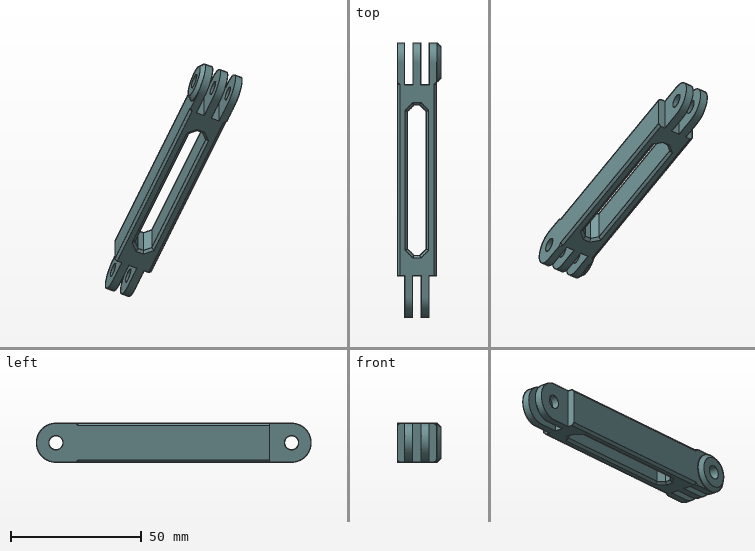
import cadquery as cq

width = 15.0
height = 15.0
total_length = 105.0
prong_length = 16.0
edge_chamfer = 1.0

prong_thickness = 3.0
pair_gap = 3.3
outer_thickness = 2.8
hole_diameter = 5.3
tip_radius = height / 2

boss_height = 1.8
boss_chamfer = 1.55

window_width = 7.0
window_length = 57.4
window_corner = 2.4
window_chamfer = 1.0

body_length = total_length - 2 * prong_length
body_end_y = body_length / 2
pivot_y = total_length / 2 - tip_radius


def disc(x_start, thickness, y, radius):
    """Cylinder along X that starts at x_start, with its axis at the given Y."""
    return cq.Workplane("YZ", origin=(x_start, y, 0)).circle(radius).extrude(thickness)


def bar():
    """Square bar with its four long edges bevelled."""
    return cq.Workplane("XY").box(width, body_length, height).edges("|Y").chamfer(edge_chamfer)


def prong(x_start, thickness, side):
    """Round-tipped prong on a bar end; side is +1 for the +Y end and -1 for the -Y end."""
    shank_length = pivot_y - body_end_y
    shank_center = (x_start + thickness / 2, side * (body_end_y + shank_length / 2), 0)
    shank = cq.Workplane("XY").box(thickness, shank_length, height).translate(shank_center)
    return shank.union(disc(x_start, thickness, side * pivot_y, tip_radius))


def boss():
    """Bevelled round boss on the outer face of the +X prong."""
    pad = disc(width / 2, boss_height, pivot_y, tip_radius)
    return pad.faces(">X").edges().chamfer(boss_chamfer)


def bevel_runout(x_side, z_side):
    """Corner tetrahedron in which a bar bevel runs out into an outer prong at the +Y end."""
    corner_x = x_side * width / 2
    corner_z = z_side * height / 2
    corner = cq.Vector(corner_x, body_end_y, corner_z)
    on_top = cq.Vector(corner_x - x_side * edge_chamfer, body_end_y, corner_z)
    on_side = cq.Vector(corner_x, body_end_y, corner_z - z_side * edge_chamfer)
    tip = cq.Vector(corner_x, body_end_y + edge_chamfer, corner_z)
    triangles = [
        (corner, on_top, on_side),
        (corner, on_top, tip),
        (corner, on_side, tip),
        (on_top, on_side, tip),
    ]
    faces = [cq.Face.makeFromWires(cq.Wire.makePolygon(points, close=True)) for points in triangles]
    return cq.Workplane(obj=cq.Solid.makeSolid(cq.Shell.makeShell(faces)))


def windowed_bar():
    """Bar with the octagonal window cut through it and the window rim bevelled on both faces."""
    cutter = cq.Workplane("XY").box(window_width, window_length, height)
    cutter = cutter.edges("|Z").chamfer(window_corner)
    part = bar().cut(cutter)
    rim_edges = []
    for face in part.faces("<Z or >Z").vals():
        for rim in face.innerWires():
            rim_edges.extend(rim.Edges())
    return part.newObject(rim_edges).chamfer(window_chamfer)


def pivot_hole(side):
    """Cutter for the hinge pin hole at one end, right through along X."""
    return disc(-width, 2 * width, side * pivot_y, hole_diameter / 2)


result = windowed_bar()

for x_start in (-pair_gap / 2 - prong_thickness, pair_gap / 2):
    result = result.union(prong(x_start, prong_thickness, -1))

result = result.union(prong(-prong_thickness / 2, prong_thickness, 1))
for x_start in (-width / 2, width / 2 - outer_thickness):
    result = result.union(prong(x_start, outer_thickness, 1))

result = result.union(boss())

for x_side in (-1, 1):
    for z_side in (-1, 1):
        result = result.cut(bevel_runout(x_side, z_side))

for side in (-1, 1):
    result = result.cut(pivot_hole(side))